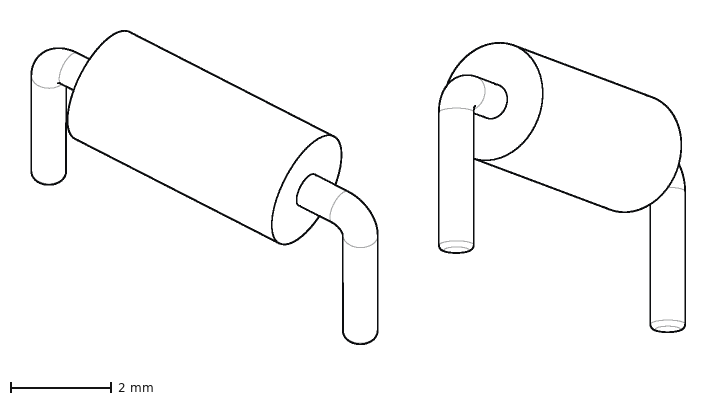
import cadquery as cq

overall_length = 8.32
overall_height = 4.53

body_diameter = 2.4
body_length = 5.0

lead_diameter = 0.7
bend_radius = 0.5
tip_fillet = 0.1

body_radius = body_diameter / 2
lead_radius = lead_diameter / 2
lead_x = overall_length / 2 - lead_radius
bend_x = lead_x - bend_radius
tip_z = body_radius - overall_height


def make_body():
    """Plain cylinder centred on the origin."""
    return cq.Workplane("YZ", origin=(-body_length / 2, 0, 0)).circle(body_radius).extrude(body_length)


def make_lead():
    """Lead on the +X side: out of the body, round the bend and down to a rounded tip."""
    horizontal = cq.Workplane("YZ").circle(lead_radius).extrude(bend_x)
    bend = (
        cq.Workplane("YZ", origin=(bend_x, 0, 0))
        .circle(lead_radius)
        .revolve(90, (-0.08, -bend_radius), (0.08, -bend_radius))
    )
    vertical = (
        cq.Workplane("XY", origin=(lead_x, 0, tip_z))
        .circle(lead_radius)
        .extrude(-bend_radius - tip_z)
        .faces("<Z")
        .edges()
        .fillet(tip_fillet)
    )
    return horizontal.union(bend).union(vertical)


lead = make_lead()
result = make_body().union(lead).union(lead.mirror("YZ"))